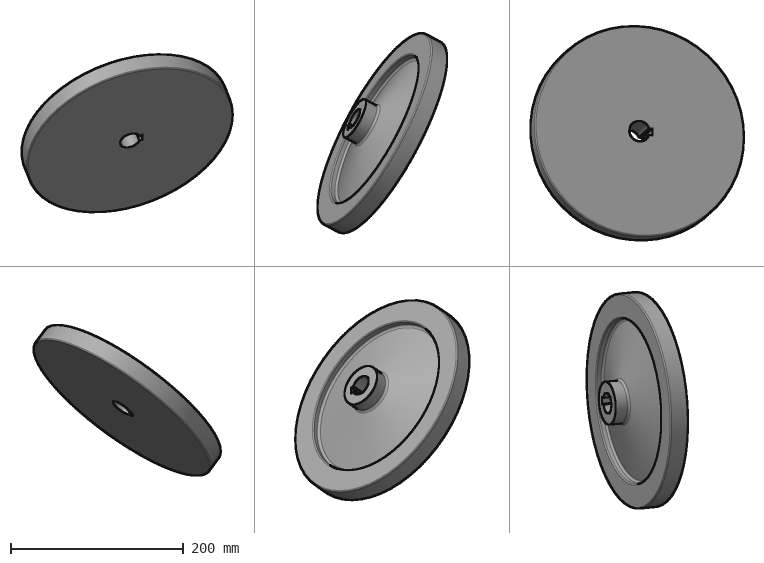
import cadquery as cq

wheel_diameter = 250.0
total_length = 49.0
rim_width = 22.5
recess_diameter = 192.5
hub_diameter = 50.0
bore_diameter = 24.0
keyway_width = 8.0
keyway_reach = 15.2
hub_length = 17.0
web_slope = 0.27
edge_radius = 1.5
hub_corner_radius = 3.0
recess_corner_radius = 2.5

wheel_radius = wheel_diameter / 2
recess_radius = recess_diameter / 2
hub_radius = hub_diameter / 2
rim_front = total_length - rim_width
web_outer_x = hub_length + web_slope * (recess_radius - hub_radius)


def circles_at(body, x, radius):
    """Circular edges centred on the wheel axis at the given X and radius."""
    tolerance = 0.02
    box_min = (x - tolerance, -radius - tolerance, -radius - tolerance)
    box_max = (x + tolerance, radius + tolerance, radius + tolerance)
    edges = body.edges(cq.selectors.BoxSelector(box_min, box_max, boundingbox=True))
    return edges.filter(lambda e: abs(e.radius() - radius) < tolerance)


def make_wheel():
    """Hub, conical web and rim, revolved as one profile about X."""
    profile = (
        cq.Workplane("XY")
        .moveTo(0, 0)
        .lineTo(0, hub_radius)
        .lineTo(hub_length, hub_radius)
        .lineTo(web_outer_x, recess_radius)
        .lineTo(rim_front, recess_radius)
        .lineTo(rim_front, wheel_radius)
        .lineTo(total_length, wheel_radius)
        .lineTo(total_length, 0)
        .close()
    )
    return profile.revolve(360, (0, 0, 0), (1, 0, 0))


def round_corners(body):
    """Round the web's two inner corners and the exposed rim edges."""
    body = circles_at(body, hub_length, hub_radius).fillet(hub_corner_radius)
    body = circles_at(body, web_outer_x, recess_radius).fillet(recess_corner_radius)
    rim_edges = (
        (rim_front, recess_radius),
        (rim_front, wheel_radius),
        (total_length, wheel_radius),
    )
    for x, radius in rim_edges:
        body = circles_at(body, x, radius).fillet(edge_radius)
    return body


def make_keyed_bore():
    """Through bore with a keyway on its +Y side."""
    bore = cq.Workplane("YZ").circle(bore_diameter / 2).extrude(total_length)
    keyway = cq.Workplane("XY").box(
        total_length, keyway_reach, keyway_width, centered=(False, False, True)
    )
    return bore.union(keyway)


result = round_corners(make_wheel()).cut(make_keyed_bore())